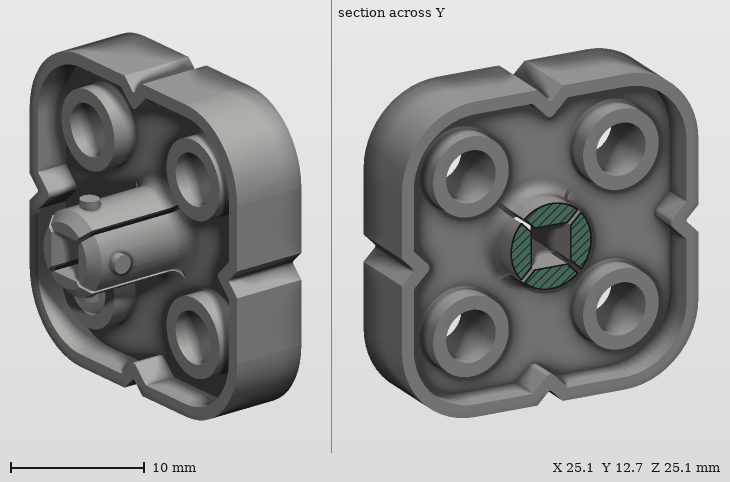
import cadquery as cq
import math

body_size = 25.1
body_depth = 6.1
wall = 1.0
floor_thickness = 3.45
corner_radius = 6.2

notch_depth = 1.08
notch_tip_radius = 0.2
inner_notch_tip_radius = 0.45

boss_spacing = 12.7
boss_diameter = 6.4
boss_hole_diameter = 4.2
boss_height = 1.98
boss_fillet = 0.2

stud_diameter = 6.8
stud_overhang = 6.5
stud_chamfer = 0.8
stud_fillet = 1.0
square_hole = 3.3
slot_width = 0.38

pin_diameter = 1.5
pin_reach = 4.05
pin_setback = 2.33

pad_diameter = 6.4
pad_height = 0.1

floor_y = -floor_thickness
stud_end_y = -body_depth - stud_overhang
stud_length = floor_y - stud_end_y
quarter_turns = (0, 90, 180, 270)


def sketch_at(y):
    """Sketch plane at Y = y, extruding toward -Y, with local axes X and Z."""
    return cq.Workplane("XZ", origin=(0, y, 0))


def turned(solid, angle):
    """Solid turned about the central Y axis."""
    return solid.rotate((0, 0, 0), (0, 1, 0), angle)


def notched_prism(size, radius, depth, tip_radius, start_y, length):
    """Rounded square prism with a rounded V notch in the middle of each side."""
    prism = sketch_at(start_y).rect(size, size).extrude(length).edges("|Y").fillet(radius)
    half = size / 2
    notch = (
        sketch_at(start_y)
        .polyline([(-2 * depth, half + depth), (0, half - depth), (2 * depth, half + depth)])
        .close()
        .extrude(length)
        .edges("|Y and <Z")
        .fillet(tip_radius)
    )
    for angle in quarter_turns:
        prism = prism.cut(turned(notch, angle))
    return prism


def make_body():
    outer = notched_prism(body_size, corner_radius, notch_depth, notch_tip_radius, 0, body_depth)
    inner_depth = notch_depth + wall * (math.sqrt(2) - 1)
    cavity = notched_prism(
        body_size - 2 * wall,
        corner_radius - wall,
        inner_depth,
        inner_notch_tip_radius,
        floor_y,
        body_depth - floor_thickness,
    )
    return outer.cut(cavity)


def round_post(radius, height, base_fillet):
    """Post standing on the floor, with a concave base fillet."""
    end_y = floor_y - height
    profile = (
        cq.Workplane("XY")
        .moveTo(0, floor_y)
        .lineTo(radius + base_fillet, floor_y)
        .radiusArc((radius, floor_y - base_fillet), -base_fillet)
        .lineTo(radius, end_y)
        .lineTo(0, end_y)
        .close()
    )
    return profile.revolve(360, (0, 0, 0), (0, 1, 0))


def make_stud():
    stud = round_post(stud_diameter / 2, stud_length, stud_fillet).faces("<Y").chamfer(stud_chamfer)
    slot_reach = stud_diameter + 2 * stud_fillet
    for angle in (45, 135):
        slot = sketch_at(floor_y).rect(slot_reach, slot_width).extrude(stud_length)
        stud = stud.cut(turned(slot, angle))
    pin_y = stud_end_y + pin_setback
    pin_root = square_hole / 2
    pin = (
        cq.Workplane("XY", origin=(0, pin_y, pin_root))
        .circle(pin_diameter / 2)
        .extrude(pin_reach - pin_root)
    )
    for angle in quarter_turns:
        stud = stud.union(turned(pin, angle))
    return stud


def make_pad():
    return sketch_at(pad_height).circle(pad_diameter / 2).extrude(pad_height)


def make_square_bore():
    through_length = pad_height - stud_end_y
    return sketch_at(pad_height).rect(square_hole, square_hole).extrude(through_length)


def add_bosses(part):
    offset = boss_spacing / 2
    boss = round_post(boss_diameter / 2, boss_height, boss_fillet)
    hole = sketch_at(0).circle(boss_hole_diameter / 2).extrude(floor_thickness + boss_height)
    for x in (-offset, offset):
        for z in (-offset, offset):
            part = part.union(boss.translate((x, 0, z))).cut(hole.translate((x, 0, z)))
    return part


part = make_body().union(make_stud()).union(make_pad()).cut(make_square_bore())
result = add_bosses(part)